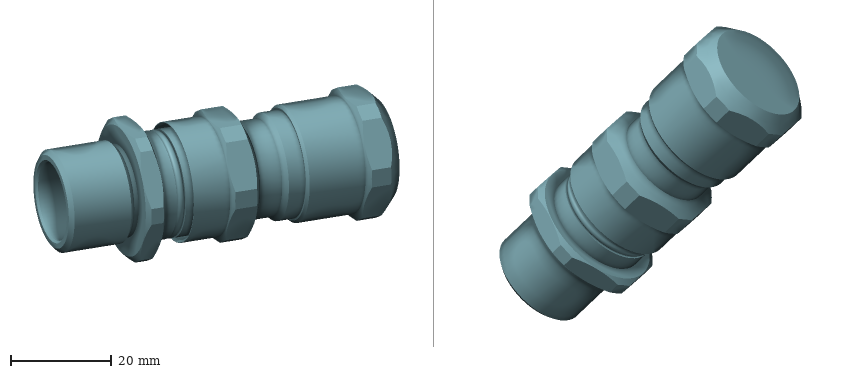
import cadquery as cq
import math

length = 70.8

thread_dia = 20.95
undercut_dia = 19.0
bore_dia = 16.0
collar_dia = 22.0
body_dia = 24.5
skirt_mouth_dia = 24.2
skirt_bore_dia = 23.35
waist_dia = 20.0
cap_dia = 24.0
cap_rim_dia = 22.9
rear_face_dia = 20.95

entry_chamfer = 0.85
thread_end = 13.1
flange_start = 15.0
flange_end = 19.1
ring_center = 23.65
collar_end = 25.85
body_end = 33.6
middle_hex_end = 41.0
waist_end = 45.75
cap_start = 50.3
cap_hex_start = 62.9

skirt_gap_depth = 3.55

bore_depth = flange_end
bore_chamfer = 0.4

flange_flats = 27.0
flange_corners = 29.2
flange_face_dia = 26.75
nut_flats = 25.0
nut_corners = 26.7
corner_clearance = 0.35

ring_section_dia = 1.85

CHAMFER_30 = math.tan(math.radians(30))
CHAMFER_45 = 1.0


def revolved(points):
    """Solid of revolution about Y from (radius, y) points, closed along the axis."""
    outline = [(0, points[0][1])] + points + [(0, points[-1][1])]
    return cq.Workplane("XY").polyline(outline).close().revolve(360, (0, 0, 0), (0, 1, 0))


def cylinder(diameter, start, end):
    return revolved([(diameter / 2, start), (diameter / 2, end)])


def hex_prism(flats, start, end, turn):
    """Hexagonal prism along Y; with no turn its corners point along X."""
    prism = (
        cq.Workplane("XZ", origin=(0, start, 0))
        .polygon(6, flats / math.cos(math.pi / 6))
        .extrude(start - end)
    )
    return prism.rotate((0, 0, 0), (0, 1, 0), turn)


def chamfered_hex(flats, corners, start, end, front_dia, rear_dia, rear_slope):
    """Hexagon with flattened corners and conical chamfers on both faces."""
    prism = hex_prism(flats, start, end, 0).intersect(hex_prism(corners, start, end, 30))
    outer = corners / 2 + corner_clearance
    front_depth = (outer - front_dia / 2) * CHAMFER_30
    rear_depth = (outer - rear_dia / 2) * rear_slope
    envelope = revolved([
        (front_dia / 2, start),
        (outer, start + front_depth),
        (outer, end - rear_depth),
        (rear_dia / 2, end),
    ])
    return prism.intersect(envelope)


def threaded_entry():
    undercut_step = (thread_dia - undercut_dia) / 2
    return revolved([
        (undercut_dia / 2, 0),
        (thread_dia / 2, entry_chamfer),
        (thread_dia / 2, thread_end),
        (undercut_dia / 2, thread_end + undercut_step),
        (undercut_dia / 2, flange_start),
    ])


def sealing_collar():
    """Collar with a groove holding a round sealing ring flush with its surface."""
    ring_section_radius = ring_section_dia / 2
    groove_start = ring_center - ring_section_radius
    groove_end = ring_center + ring_section_radius
    floor_radius = collar_dia / 2 - ring_section_radius
    ring = (
        cq.Workplane("XY")
        .moveTo(0, groove_start)
        .lineTo(floor_radius, groove_start)
        .threePointArc(
            (collar_dia / 2, ring_center),
            (floor_radius, groove_end),
        )
        .lineTo(0, groove_end)
        .close()
        .revolve(360, (0, 0, 0), (0, 1, 0))
    )
    return (
        cylinder(collar_dia, flange_end, groove_start)
        .union(ring)
        .union(cylinder(collar_dia, groove_end, collar_end))
    )


def skirted_body():
    """Body whose front end is a skirt around the collar, with a 45 degree lead-in."""
    lead_in = (skirt_mouth_dia - skirt_bore_dia) / 2
    gap_end = collar_end + skirt_gap_depth
    skirt_bore = revolved([
        (skirt_mouth_dia / 2, collar_end),
        (skirt_bore_dia / 2, collar_end + lead_in),
        (skirt_bore_dia / 2, gap_end),
    ])
    core = cylinder(collar_dia, collar_end, gap_end)
    return cylinder(body_dia, collar_end, body_end).cut(skirt_bore).union(core)


def waist_and_cap():
    waist_step = (collar_dia - waist_dia) / 2
    cap_chamfer = (cap_dia - cap_rim_dia) / 2
    return revolved([
        (waist_dia / 2, middle_hex_end),
        (waist_dia / 2, waist_end),
        (collar_dia / 2, waist_end + waist_step),
        (collar_dia / 2, cap_start),
        (cap_rim_dia / 2, cap_start),
        (cap_dia / 2, cap_start + cap_chamfer),
        (cap_dia / 2, cap_hex_start),
    ])


def entry_bore():
    return revolved([
        (bore_dia / 2 + bore_chamfer, 0),
        (bore_dia / 2, bore_chamfer),
        (bore_dia / 2, bore_depth),
    ])


flange = chamfered_hex(
    flange_flats, flange_corners, flange_start, flange_end,
    flange_face_dia, flange_face_dia, CHAMFER_30,
)
middle_hex = chamfered_hex(
    nut_flats, nut_corners, body_end, middle_hex_end, body_dia, waist_dia, CHAMFER_30,
)
cap_hex = chamfered_hex(
    nut_flats, nut_corners, cap_hex_start, length, cap_dia, rear_face_dia, CHAMFER_45,
)

result = (
    threaded_entry()
    .union(flange)
    .union(sealing_collar())
    .union(skirted_body())
    .union(middle_hex)
    .union(waist_and_cap())
    .union(cap_hex)
    .cut(entry_bore())
)